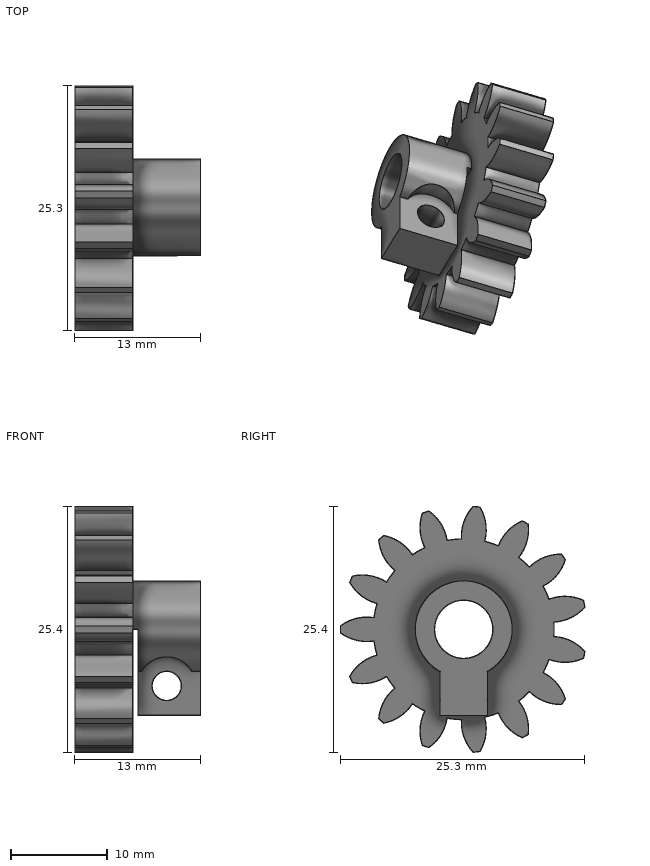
import cadquery as cq
import math

tooth_count = 15
gear_width = 6.0
gear_height = 25.42
tip_half_angle = 1.6
highest_tooth_tilt = 360 / tooth_count / 4
tip_radius = gear_height / 2 / math.cos(math.radians(highest_tooth_tilt - tip_half_angle))
root_radius = 9.35
bore_radius = 3.0

root_half_width = 1.22
flank_middle_radius = 11.18
flank_middle_half_width = 1.12
tip_half_width = tip_radius * math.sin(math.radians(tip_half_angle))

total_length = 13.0
hub_length = total_length - gear_width
hub_radius = 5.0
relief_gap = 0.5

lug_depth = 8.9
lug_half_thickness = 2.45
screw_x = gear_width + hub_length / 2
screw_z = -5.85
screw_radius = 1.5
screw_head_radius = 3.0


def cylinder_along_x(radius, start, length):
    return cq.Workplane("YZ").workplane(offset=start).circle(radius).extrude(length)


def cylinder_along_y(radius, start, end):
    """Cylinder on the screw axis from Y = start to Y = end."""
    plane = cq.Plane(origin=(screw_x, start, screw_z), xDir=(1, 0, 0), normal=(0, 1, 0))
    return cq.Workplane(plane).circle(radius).extrude(end - start)


def box_between(low, high):
    size = [b - a for a, b in zip(low, high)]
    return cq.Workplane("XY").box(*size, centered=False).translate(low)


def tooth():
    """One tooth with convex flanks, pointing toward -Y and starting inside the root circle."""
    tip = math.sqrt(tip_radius**2 - tip_half_width**2)
    root = math.sqrt(root_radius**2 - root_half_width**2)
    inner = (root_radius + bore_radius) / 2
    return (
        cq.Workplane("YZ")
        .moveTo(-inner, -root_half_width)
        .lineTo(-root, -root_half_width)
        .threePointArc((-flank_middle_radius, -flank_middle_half_width), (-tip, -tip_half_width))
        .threePointArc((-tip_radius, 0), (-tip, tip_half_width))
        .threePointArc((-flank_middle_radius, flank_middle_half_width), (-root, root_half_width))
        .lineTo(-inner, root_half_width)
        .close()
        .extrude(gear_width)
    )


def gear():
    wheel = cylinder_along_x(root_radius, 0, gear_width)
    single_tooth = tooth()
    for index in range(tooth_count):
        angle = index * 360 / tooth_count
        wheel = wheel.union(single_tooth.rotate((0, 0, 0), (1, 0, 0), angle))
    return wheel


def hub():
    body = cylinder_along_x(hub_radius, gear_width, hub_length)
    lug = box_between(
        (gear_width, -lug_half_thickness, -lug_depth),
        (total_length, lug_half_thickness, 0),
    )
    gap = box_between(
        (gear_width, -hub_radius, -lug_depth),
        (gear_width + relief_gap, hub_radius, 0),
    )
    body = body.union(lug).cut(gap)

    body = body.cut(cylinder_along_y(screw_radius, -hub_radius, hub_radius))
    body = body.cut(cylinder_along_y(screw_head_radius, -hub_radius, -lug_half_thickness))
    return body.cut(cylinder_along_y(screw_head_radius, lug_half_thickness, hub_radius))


bore = cylinder_along_x(bore_radius, 0, total_length)
result = gear().union(hub()).cut(bore)